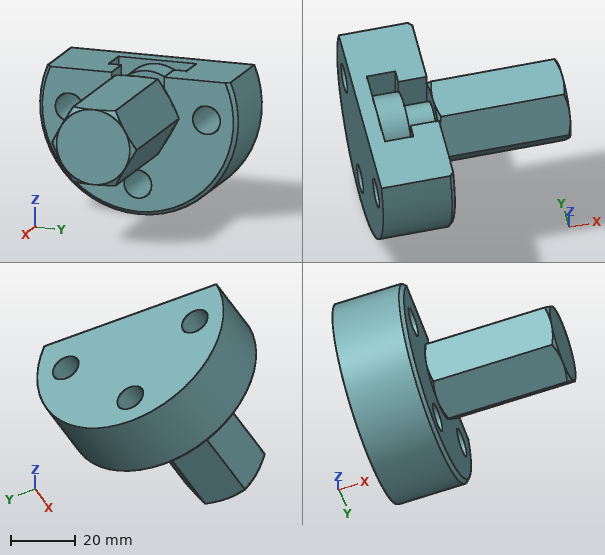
import cadquery as cq
import math

flange_diameter = 65.0
flange_thickness = 23.0
flange_flat_height = 12.5
flange_chamfer = 1.2

hole_diameter = 9.0
hole_circle_radius = 22.5
hole_angles = (0.0, 180.0, 270.0)

slot_back_wall = 5.0
slot_head_depth = 9.0
slot_head_width = 25.5
slot_neck_width = 17.2

hex_sides = 6
hex_across_flats = 24.0
hex_length = 41.0
hex_chamfer_angle = 30.0
hex_face_diameter = hex_across_flats
head_diameter = 22.8
head_clearance = 0.2
neck_diameter = 13.4

shoulder_x = slot_back_wall + slot_head_depth
head_start_x = slot_back_wall + head_clearance
hex_across_corners = hex_across_flats / math.cos(math.pi / hex_sides)


def disc(diameter, start_x, end_x):
    """Cylinder on the X axis between two X positions."""
    return cq.Workplane("YZ", origin=(start_x, 0, 0)).circle(diameter / 2).extrude(end_x - start_x)


def slot_section(width, start_x, end_x):
    """Slot with a round bottom on the X axis, running up through the flat."""
    half_width = width / 2
    return (
        cq.Workplane("YZ", origin=(start_x, 0, 0))
        .moveTo(-half_width, flange_flat_height)
        .lineTo(-half_width, 0)
        .threePointArc((0, -half_width), (half_width, 0))
        .lineTo(half_width, flange_flat_height)
        .close()
        .extrude(end_x - start_x)
    )


def make_flange():
    body = disc(flange_diameter, 0, flange_thickness).faces(">X").chamfer(flange_chamfer)

    above_flat = (
        cq.Workplane("XY", origin=(0, 0, flange_flat_height))
        .rect(2 * flange_thickness, 2 * flange_diameter)
        .extrude(flange_diameter)
    )
    body = body.cut(above_flat)

    body = body.cut(slot_section(slot_head_width, slot_back_wall, shoulder_x))
    body = body.cut(slot_section(slot_neck_width, shoulder_x, flange_thickness))

    for angle in hole_angles:
        hole_y = hole_circle_radius * math.cos(math.radians(angle))
        hole_z = hole_circle_radius * math.sin(math.radians(angle))
        hole = disc(hole_diameter, 0, flange_thickness).translate((0, hole_y, hole_z))
        body = body.cut(hole)
    return body


def chamfered_hexagon(start_x, end_x):
    """Hexagonal bar with a conical chamfer on the corners of both ends."""
    bar = (
        cq.Workplane("YZ", origin=(start_x, 0, 0))
        .polygon(hex_sides, hex_across_corners)
        .extrude(end_x - start_x)
    )
    face_radius = hex_face_diameter / 2
    corner_radius = hex_across_corners / 2
    chamfer_length = (corner_radius - face_radius) * math.tan(math.radians(hex_chamfer_angle))
    envelope = (
        cq.Workplane("XY")
        .moveTo(start_x, 0)
        .lineTo(start_x, face_radius)
        .lineTo(start_x + chamfer_length, corner_radius)
        .lineTo(end_x - chamfer_length, corner_radius)
        .lineTo(end_x, face_radius)
        .lineTo(end_x, 0)
        .close()
        .revolve(360, (0, 0, 0), (1, 0, 0))
    )
    return bar.intersect(envelope)


def make_stud():
    head = disc(head_diameter, head_start_x, shoulder_x)
    neck = disc(neck_diameter, shoulder_x, flange_thickness)
    hexagon = chamfered_hexagon(flange_thickness, flange_thickness + hex_length)
    return head.union(neck).union(hexagon)


flange = make_flange()
stud = make_stud()

result = cq.Compound.makeCompound([flange.val(), stud.val()])